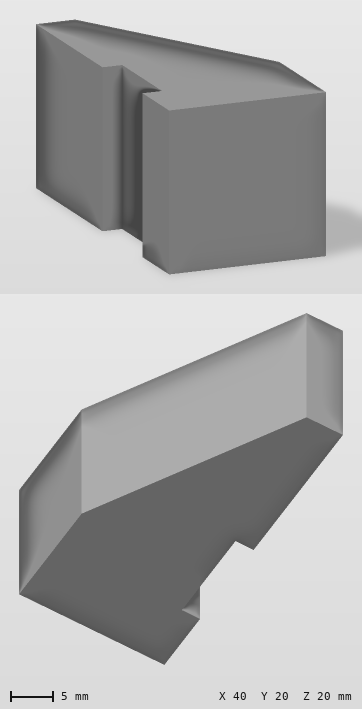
import cadquery as cq
import math

length = 40.0
depth = 20.0
height = 20.0

end_wall = 5.0
slope_angle = math.radians(30.0)
slope_run = (depth - end_wall) / math.tan(slope_angle)

slot_start = length / 2
slot_width = 12.0
slot_depth = end_wall / 2


def wedge_block():
    """Block with its left back corner cut off at the slope angle."""
    outline = [
        (0, 0),
        (length, 0),
        (length, depth),
        (slope_run, depth),
        (0, end_wall),
    ]
    return cq.Workplane("XY").polyline(outline).close().extrude(height)


def front_slot():
    """Rectangular slot volume open at the front, top and bottom."""
    slot = cq.Workplane("XY").box(slot_width, slot_depth, height, centered=False)
    return slot.translate((slot_start, 0, 0))


result = wedge_block().cut(front_slot())